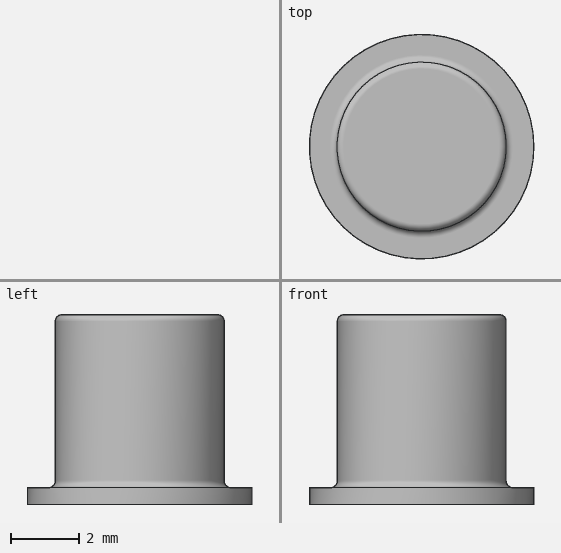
import cadquery as cq

flange_diameter = 6.57
flange_thickness = 0.5
body_diameter = 4.95
total_height = 5.56
edge_radius = 0.2

flange_radius = flange_diameter / 2
body_radius = body_diameter / 2

flange = cq.Workplane("XY").circle(flange_radius).extrude(flange_thickness)

cap = flange.union(cq.Workplane("XY").circle(body_radius).extrude(total_height))

cap = cap.faces(">Z").edges().fillet(edge_radius)

body_root = cq.selectors.RadiusNthSelector(0)
flange_top_edges = cap.faces("|Z").faces(cq.selectors.NearestToPointSelector((0, 0, flange_thickness))).edges()
result = flange_top_edges.edges(body_root).fillet(edge_radius)